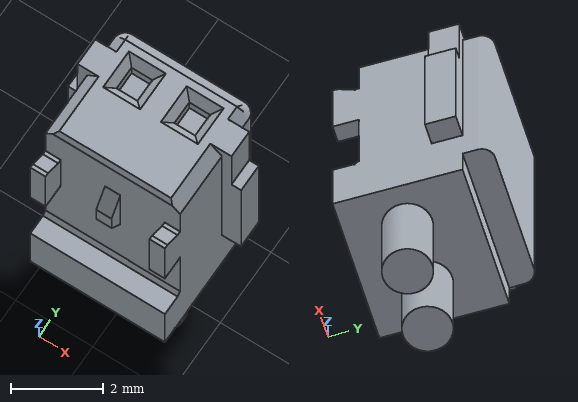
import cadquery as cq


body_width = 3.5
body_height = 6.0
back_y = 1.0
front_wall_y = -2.0
front_y = -2.6
foot_height = 1.5
foot_chamfer = 0.1
back_step_depth = 0.65
back_step_height = 0.7
top_edge_chamfer = 0.3
front_edge_chamfer = 0.1
half_width = body_width / 2

key_thickness = 2 * (back_y - back_step_depth)
key_upper_span = 4.0
key_lower_span = 4.5
key_bottom_z = foot_height
key_shoulder_z = 4.5

hook_width = 0.4
hook_bottom_z = 3.4
hook_top_z = 5.0
hook_root_z = 4.78
hook_land = 0.1

bump_width = 0.4
bump_reach = 0.35
bump_bottom_z = 3.25
bump_lower_corner_z = 3.7
bump_upper_corner_z = 4.2
bump_top_z = 4.8

pitch = 1.5
socket_mouth_x = 0.96
socket_mouth_y = 1.02
socket_throat_x = 0.54
socket_throat_y = 0.59
socket_lead_in_depth = 0.2
socket_throat_depth = 0.3
wire_diameter = 1.12
wire_length = 2.0
wire_y = -1.2
contact_xs = (-pitch / 2, pitch / 2)


def box_between(x0, x1, y0, y1, z0, z1):
    """Box given by its limits along each axis."""
    return cq.Workplane("XY").box(x1 - x0, y1 - y0, z1 - z0, centered=False).translate((x0, y0, z0))


def side_profile(points, x0, x1):
    """Closed (y, z) outline extruded from x0 to x1."""
    return cq.Workplane("YZ").workplane(offset=x0).polyline(points).close().extrude(x1 - x0)


def make_shell():
    """Stepped block with a front foot and bevelled top edges."""
    outline = [
        (front_y, 0),
        (back_y - back_step_depth, 0),
        (back_y - back_step_depth, back_step_height),
        (back_y, back_step_height),
        (back_y, body_height - top_edge_chamfer),
        (back_y - top_edge_chamfer, body_height),
        (front_wall_y + front_edge_chamfer, body_height),
        (front_wall_y, body_height - front_edge_chamfer),
        (front_wall_y, foot_height + foot_chamfer),
        (front_wall_y - foot_chamfer, foot_height),
        (front_y, foot_height),
    ]
    block = side_profile(outline, -half_width, half_width)
    bevelled_front = (
        cq.Workplane("XZ", origin=(0, back_y, 0))
        .moveTo(-half_width, 0)
        .lineTo(half_width, 0)
        .lineTo(half_width, body_height - top_edge_chamfer)
        .lineTo(half_width - top_edge_chamfer, body_height)
        .lineTo(-half_width + top_edge_chamfer, body_height)
        .lineTo(-half_width, body_height - top_edge_chamfer)
        .close()
        .extrude(back_y - front_y)
    )
    return block.intersect(bevelled_front)


def round_back_corner(shell, side):
    """Replace one sharp back corner by a cylinder that ends in a cone at the top."""
    axis_x = side * (half_width - top_edge_chamfer)
    axis_y = back_y - top_edge_chamfer
    x0, x1 = sorted((axis_x, side * half_width))
    corner = box_between(x0, x1, axis_y, back_y, back_step_height, body_height)
    rounded = (
        cq.Workplane("XZ", origin=(axis_x, axis_y, 0))
        .moveTo(0, back_step_height)
        .lineTo(top_edge_chamfer, back_step_height)
        .lineTo(top_edge_chamfer, body_height - top_edge_chamfer)
        .lineTo(0, body_height)
        .close()
        .revolve(360, (0, 0), (0, 1))
    )
    return shell.cut(corner).union(rounded.intersect(corner))


def make_keys():
    """Stepped rib through the body that forms a key on each side."""
    half_key = key_thickness / 2
    half_upper = key_upper_span / 2
    half_lower = key_lower_span / 2
    lower = box_between(-half_lower, half_lower, -half_key, half_key, key_bottom_z, key_shoulder_z)
    upper = box_between(-half_upper, half_upper, -half_key, half_key, key_bottom_z, body_height)
    return lower.union(upper)


def make_hook(side):
    """Hook with an undercut top, flush with one side of the body."""
    outline = [
        (front_wall_y, hook_bottom_z),
        (front_wall_y, hook_root_z),
        (front_wall_y - hook_land, hook_root_z),
        (front_y + hook_land, hook_top_z),
        (front_y, hook_top_z),
        (front_y, hook_bottom_z),
    ]
    x0, x1 = sorted((side * half_width, side * (half_width - hook_width)))
    return side_profile(outline, x0, x1)


def make_bump():
    """Latch bump with sloped top and bottom."""
    bump_y = front_wall_y - bump_reach
    outline = [
        (front_wall_y, bump_bottom_z),
        (bump_y, bump_lower_corner_z),
        (bump_y, bump_upper_corner_z),
        (front_wall_y, bump_top_z),
    ]
    return side_profile(outline, -bump_width / 2, bump_width / 2)


def make_socket(x):
    """Tapered lead-in followed by a straight blind throat."""
    lead_in = (
        cq.Workplane("XY", origin=(x, 0, body_height))
        .rect(socket_mouth_x, socket_mouth_y)
        .workplane(offset=-socket_lead_in_depth)
        .rect(socket_throat_x, socket_throat_y)
        .loft(ruled=True)
    )
    throat = (
        cq.Workplane("XY", origin=(x, 0, body_height - socket_lead_in_depth))
        .rect(socket_throat_x, socket_throat_y)
        .extrude(-socket_throat_depth)
    )
    return lead_in.union(throat)


def make_wire(x):
    """Round wire hanging from the underside of the body."""
    return cq.Workplane("XY", origin=(x, wire_y, 0)).circle(wire_diameter / 2).extrude(-wire_length)


result = make_shell()
for side in (-1, 1):
    result = round_back_corner(result, side)
    result = result.union(make_hook(side))
result = result.union(make_keys()).union(make_bump())
for x in contact_xs:
    result = result.cut(make_socket(x)).union(make_wire(x))